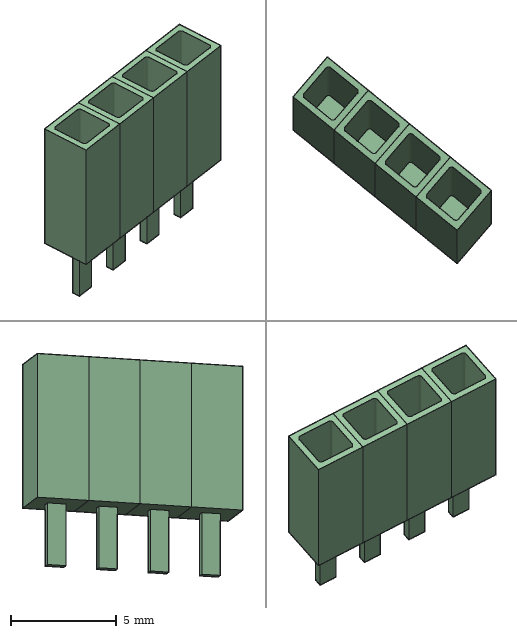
import cadquery as cq

socket_count = 4
pitch = 2.54
total_height = 10.0

housing_height = 7.0
wall = 0.3
opening = pitch - 2 * wall
opening_corner_radius = 0.15
floor_thickness = 1.0
opening_depth = housing_height - floor_thickness

pin_thickness = 0.41
pin_width = 0.91
pin_length = total_height - housing_height


def make_housing(y):
    """Square housing standing on Z = 0 with a blind opening in its top."""
    body = cq.Workplane("XY").box(pitch, pitch, housing_height, centered=(True, True, False))
    cavity = (
        cq.Workplane("XY")
        .workplane(offset=floor_thickness)
        .rect(opening, opening)
        .extrude(opening_depth)
        .edges("|Z")
        .fillet(opening_corner_radius)
    )
    return body.cut(cavity).translate((0, y, 0))


def make_pin(y):
    """Flat pin hanging from the underside of a housing."""
    pin = cq.Workplane("XY").rect(pin_thickness, pin_width).extrude(-pin_length)
    return pin.translate((0, y, 0))


housings = []
pins = []
for index in range(socket_count):
    socket_y = (index - (socket_count - 1) / 2) * pitch
    housings.append(make_housing(socket_y).val())
    pins.append(make_pin(socket_y).val())

result = cq.Compound.makeCompound([*housings, *pins])